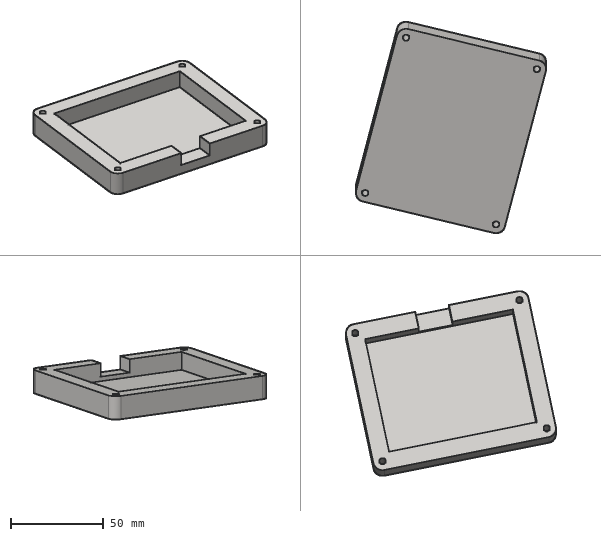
import cadquery as cq

width = 83.2
length = 101.0
height = 13.0
corner_radius = 5.0

pocket_width = 64.2
pocket_length = 81.8
pocket_depth = 10.0

notch_width = 18.6
notch_depth = 7.5
notch_center_y = 1.8

hole_diameter = 3.4
hole_spacing_x = width - 2 * corner_radius
hole_spacing_y = length - 2 * corner_radius


def make_body():
    body = cq.Workplane("XY").box(width, length, height, centered=(True, True, False))
    return body.edges("|Z").fillet(corner_radius)


def make_pocket():
    floor = cq.Workplane("XY").workplane(offset=height - pocket_depth)
    return floor.rect(pocket_width, pocket_length).extrude(pocket_depth)


def make_notch():
    floor = cq.Workplane("XY").workplane(offset=height - notch_depth)
    half_width = width / 2
    return (
        floor.center(half_width / 2, notch_center_y)
        .rect(half_width, notch_width)
        .extrude(notch_depth)
    )


def make_screw_holes():
    corners = cq.Workplane("XY").rect(hole_spacing_x, hole_spacing_y, forConstruction=True)
    return corners.vertices().circle(hole_diameter / 2).extrude(height)


result = make_body().cut(make_pocket()).cut(make_notch()).cut(make_screw_holes())